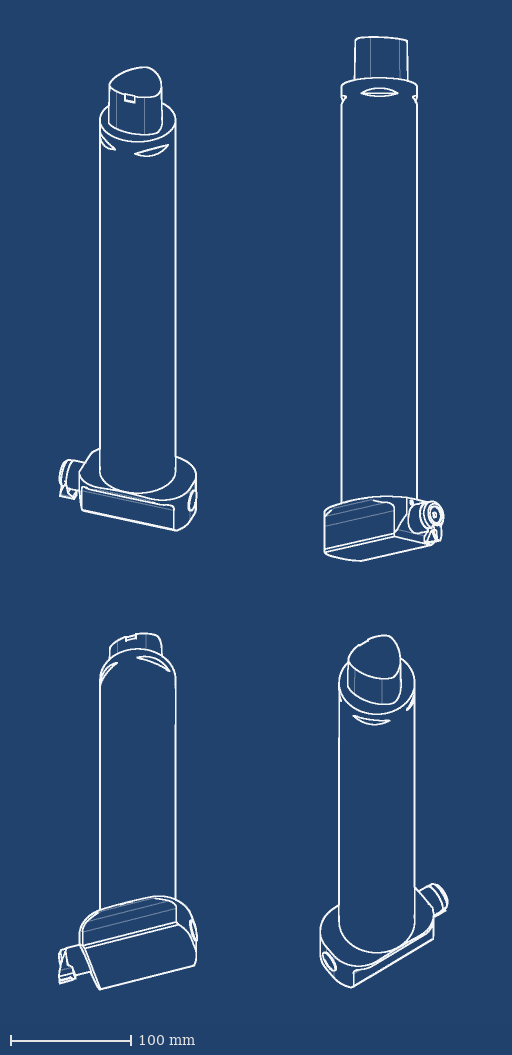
import cadquery as cq
import math

total_height = 438.0
shoulder_z = 400.5
head_bottom_z = 5.3
head_top_z = 41.0
head_top_drop = 2.0
spindle_z = 23.0

bar_diameter = 63.0
bar_radius = bar_diameter / 2

groove_count = 4
groove_z = 388.0
groove_depth = 4.0
groove_half_height = 3.5

shank_mean_radius = 22.5
shank_taper = 0.65
shank_eccentricity = 2.0
flank_half_angle = 20.0
points_per_face = 9
key_width = 8.8
key_height = 6.0
key_depth = 1.1

head_half_length = 48.0
head_half_width = 32.0
head_corner_radius = 26.5
head_flat_x = -46.5
rail_half_width = 23.5
rail_top_z = 27.0
flange_bottom_z = 34.0
flange_round = 4.0
rail_chamfer_width = 1.8
rail_chamfer_height = 2.0
slope_start_z = 24.0
slope_end_x = -42.5
slope_end_z = 11.0
toe_x = -39.5
end_pad_radius = 8.8
end_pad_height = 1.0
index_y = 8.8
index_z = 35.5
index_diameter = 3.4
index_depth = 2.0

cartridge_radius = 24.0 / 2
cartridge_seat_x = -39.5
collar_x = -59.0
collar_radius = 11.6
bevel_start_x = -63.5
cartridge_face_x = -66.0
cartridge_face_radius = 9.0
face_clearance_radius = 8.5
recess_diameter = 14.0
recess_depth = 1.5
socket_diameter = 4.1
socket_depth = 2.5
rake_y = 2.5
arm_bottom_z = 1.5
arm_bottom_y = -3.5
foot_top_z = 5.5
foot_top_y = -6.5
foot_slope_z = 9.5
arm_side_z = 21.0
foot_back_x = -55.0
arm_axis_x = -51.0
arm_bottom_radius = 17.5
arm_top_radius = 14.5

insert_tip_x = -68.8
insert_edge = 11.0
insert_thickness = 2.35
insert_tilt = 2.0


def shank_point(angle, mean_radius):
    """Point of the constant-width polygon whose outward normal has this angle in degrees."""
    a = math.radians(angle)
    phase = 3 * (a - math.pi / 2)
    reach = mean_radius + shank_eccentricity * math.cos(phase)
    slope = -3 * shank_eccentricity * math.sin(phase)
    return (
        reach * math.cos(a) - slope * math.sin(a),
        reach * math.sin(a) + slope * math.cos(a),
    )


def shank_wire(z, mean_radius):
    """Closed polygon outline: three flank curves and three lobe curves."""
    edges = []
    for flank in (30, 150, 270):
        joints = (flank - flank_half_angle, flank + flank_half_angle, flank + 120 - flank_half_angle)
        for start, end in zip(joints, joints[1:]):
            step = (end - start) / (points_per_face - 1)
            angles = [start + i * step for i in range(points_per_face)]
            points = [cq.Vector(*shank_point(a, mean_radius), z) for a in angles]
            edges.append(cq.Edge.makeSpline(points))
    return cq.Wire.assembleEdges(edges)


def make_shank():
    end_radius = shank_mean_radius - shank_taper
    shank = cq.Workplane(cq.Solid.makeLoft(
        [shank_wire(shoulder_z, shank_mean_radius), shank_wire(total_height, end_radius)], True
    ))
    flank_y = -(end_radius - shank_eccentricity)
    key_slot = cq.Workplane("XY").box(key_width, 2 * key_depth, 2 * key_height)
    return shank.cut(key_slot.translate((0, flank_y, total_height)))


def make_bar():
    bar = cq.Workplane("XY").workplane(offset=head_top_z).circle(bar_radius)
    bar = bar.extrude(shoulder_z - head_top_z)
    root = bar_radius - groove_depth
    groove_outer = bar_radius + groove_depth
    rise = groove_half_height * (groove_outer - root) / groove_depth
    groove = (
        cq.Workplane("XZ")
        .polyline([
            (root, groove_z),
            (groove_outer, groove_z + rise),
            (groove_outer, groove_z - rise),
        ])
        .close()
        .extrude(bar_radius, both=True)
    )
    for i in range(groove_count):
        angle = (i + 0.5) * 360 / groove_count
        bar = bar.cut(groove.rotate((0, 0, 0), (0, 0, 1), angle))
    return bar


def make_head():
    blank = (
        cq.Workplane("XY")
        .workplane(offset=head_bottom_z)
        .rect(2 * head_half_length, 2 * head_half_width)
        .extrude(head_top_z - head_bottom_z)
        .edges("|Z")
        .fillet(head_corner_radius)
    )
    diagonal = math.sqrt(0.5)
    hollow = flange_bottom_z - rail_top_z
    round_center_y = head_half_width - flange_round
    round_center_z = flange_bottom_z + flange_round
    hollow_width = round_center_y - rail_half_width
    section = (
        cq.Workplane("YZ")
        .moveTo(0, head_top_z)
        .lineTo(head_half_width, head_top_z)
        .lineTo(head_half_width, round_center_z)
        .threePointArc(
            (round_center_y + flange_round * diagonal, round_center_z - flange_round * diagonal),
            (round_center_y, flange_bottom_z),
        )
        .threePointArc(
            (round_center_y - hollow_width * diagonal, rail_top_z + hollow * diagonal),
            (rail_half_width, rail_top_z),
        )
        .lineTo(rail_half_width, head_bottom_z + rail_chamfer_height)
        .lineTo(rail_half_width - rail_chamfer_width, head_bottom_z)
        .lineTo(0, head_bottom_z)
        .close()
        .extrude(head_half_length, both=True)
    )
    head = blank.intersect(section.union(section.mirror("XZ")))
    end_shape = (
        cq.Workplane("XZ")
        .polyline([
            (head_flat_x, head_top_z),
            (head_flat_x, slope_start_z),
            (slope_end_x, slope_end_z),
            (toe_x, head_bottom_z),
            (head_half_length, head_bottom_z),
            (head_half_length, head_top_z),
        ])
        .close()
        .extrude(head_half_width, both=True)
    )
    slope = head_top_drop / (-head_flat_x - bar_radius)
    rim_radius = head_half_length + head_half_width
    rim_z = head_top_z - slope * (rim_radius - bar_radius)
    cone_top = (
        cq.Workplane("XZ")
        .polyline([
            (0, head_bottom_z),
            (rim_radius, head_bottom_z),
            (rim_radius, rim_z),
            (bar_radius, head_top_z),
            (0, head_top_z),
        ])
        .close()
        .revolve(360, (0, 0, 0), (0, 1, 0))
    )
    head = head.intersect(end_shape).intersect(cone_top)
    end_pad = (
        cq.Workplane("YZ", origin=(0, 0, spindle_z))
        .circle(end_pad_radius)
        .extrude(head_half_length + end_pad_height)
    )
    index_hole = (
        cq.Workplane("YZ", origin=(head_flat_x, index_y, index_z))
        .circle(index_diameter / 2)
        .extrude(index_depth)
    )
    seat = (
        cq.Workplane("YZ", origin=(cartridge_seat_x, 0, spindle_z))
        .circle(cartridge_radius)
        .extrude(collar_x - cartridge_seat_x)
    )
    return head.union(end_pad).cut(index_hole).cut(seat)


def make_arm():
    """Tool arm below the cartridge: outline in YZ, limited by a side profile and a conical front."""
    blank_x = insert_tip_x - insert_edge
    blank_length = foot_back_x - blank_x
    outline = (
        cq.Workplane("YZ", origin=(blank_x, 0, 0))
        .polyline([
            (rake_y, spindle_z),
            (rake_y, arm_bottom_z),
            (arm_bottom_y, arm_bottom_z),
            (foot_top_y, foot_top_z),
            (-collar_radius, arm_side_z),
            (-collar_radius, spindle_z),
        ])
        .close()
        .extrude(blank_length)
    )
    profile = (
        cq.Workplane("XZ")
        .polyline([
            (collar_x, spindle_z),
            (collar_x, foot_slope_z),
            (foot_back_x, foot_top_z),
            (foot_back_x, arm_bottom_z),
            (blank_x, arm_bottom_z),
            (blank_x, spindle_z),
        ])
        .close()
        .extrude(cartridge_radius, both=True)
    )
    cone = cq.Workplane(cq.Solid.makeCone(
        arm_bottom_radius, arm_top_radius, spindle_z, pnt=cq.Vector(arm_axis_x, 0, 0)
    ))
    face_clearance = (
        cq.Workplane("YZ", origin=(blank_x, 0, spindle_z))
        .circle(face_clearance_radius)
        .extrude(blank_length)
    )
    return outline.intersect(profile).intersect(cone).cut(face_clearance)


def insert_corners():
    """Tip, inner lower corner and upper corner of the triangular insert, as (X, Z)."""
    corners = [(insert_tip_x, 0)]
    for angle in (insert_tilt, insert_tilt + 60):
        a = math.radians(angle)
        corners.append((insert_tip_x + insert_edge * math.cos(a), insert_edge * math.sin(a)))
    return corners


def insert_plate(outline):
    plate = cq.Workplane("XZ", origin=(0, rake_y, 0)).polyline(outline).close()
    return plate.extrude(insert_thickness)


def make_insert():
    return insert_plate(insert_corners())


def make_insert_pocket():
    """Room for the insert, open on the two sides where its cutting edges stand free."""
    tip, inner, upper = insert_corners()
    outer_x = insert_tip_x - insert_edge
    return insert_plate([
        (outer_x, tip[1]),
        (inner[0], tip[1]),
        inner,
        upper,
        (outer_x, upper[1]),
    ])


def make_cartridge():
    turned = (
        cq.Workplane("XY")
        .polyline([
            (cartridge_seat_x, 0),
            (cartridge_seat_x, cartridge_radius),
            (collar_x, cartridge_radius),
            (collar_x, collar_radius),
            (bevel_start_x, collar_radius),
            (cartridge_face_x, cartridge_face_radius),
            (cartridge_face_x, 0),
        ])
        .close()
        .revolve(360, (0, 0, 0), (1, 0, 0))
        .translate((0, 0, spindle_z))
    )
    face = cq.Workplane("YZ", origin=(cartridge_face_x, 0, spindle_z))
    recess = face.circle(recess_diameter / 2).extrude(recess_depth)
    socket = face.circle(socket_diameter / 2).extrude(recess_depth + socket_depth)
    front = turned.cut(recess).cut(socket)
    return front.union(make_arm()).cut(make_insert_pocket())


body = make_bar().union(make_shank()).union(make_head())
cartridge = make_cartridge()
insert = make_insert()

result = cq.Compound.makeCompound([body.val(), cartridge.val(), insert.val()])